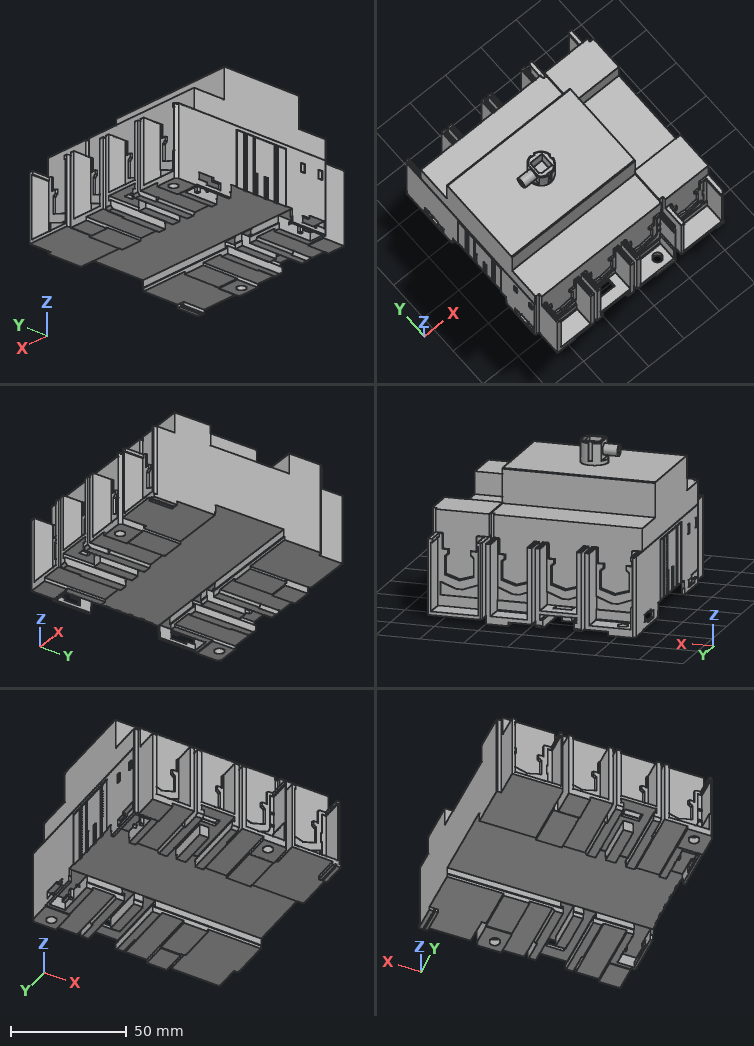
import cadquery as cq

depth_half = 50.0
body_half = 39.4
main_width = 70.0
pole_right = 96.5
pole_width = pole_right - main_width

wall_top = 36.2
shoulder_top = 46.5
main_top = 62.4
handle_top = 72.7
belly = 1.7
raised_belly = 6.6

main_block_half = 21.9
main_block_right = 69.7
main_block_bevel = 0.4
pole_valley_half = 20.6
corner_notch = 2.1
corner_notch_face = 37.7
seam_inset = 0.1

pole_pitch = 22.5
middle_pole = main_width / 2
main_poles = [middle_pole + i * pole_pitch for i in (-1, 0, 1)]
added_pole = main_width + pole_width / 2
bay_half = 20.9 / 2
cavity_half = 16.7 / 2
plate_thickness = 0.9
floor_outer = 3.7
floor_middle = 8.3
floor_added = 3.4
sill_top = 8.3
sill_thickness = 1.2
toe = 0.4
wall_groove = 0.7
wall_lip = 1.7
groove_depth = 0.5

pad_width = 12.2
belly_recess = 0.5
belly_recess_half = 38.0
rail_half = 17.8
rail_top = 6.9
foot_inner = 7.1
foot_wall = 8.3
foot_outer = 12.0
foot_bottom = 0.4
hook_top = 4.2


def block(x0, x1, y0, y1, z0, z1):
    return cq.Workplane("XY").box(x1 - x0, y1 - y0, z1 - z0, centered=False).translate((x0, y0, z0))


def half_turn(shape, center_x):
    """The same shape at the opposite end, turned about a vertical axis."""
    return shape.rotate((center_x, 0, 0), (center_x, 0, 1), 180)


def at_both_ends(shape, center_x):
    return shape.union(half_turn(shape, center_x))


def front_prism(points, y_front, length, taper=0):
    """Outline in X and Z, extruded from y_front toward the rear."""
    plane = cq.Workplane("XZ", origin=(0, y_front, 0))
    return plane.polyline(points).close().extrude(-length, taper=taper)


def housing(x0, x1, bottom, top):
    body = block(x0, x1, -body_half, body_half, bottom, top)
    bevel_x, bevel_y = 0.4, 0.8
    outline = [(x0, -body_half), (x0 + corner_notch, -body_half), (x0 + corner_notch, -corner_notch_face),
               (x0 + bevel_x, -corner_notch_face), (x0, -corner_notch_face + bevel_y)]
    notch = cq.Workplane("XY", origin=(0, 0, bottom)).polyline(outline).close().extrude(top - bottom)
    return body.cut(at_both_ends(notch, (x0 + x1) / 2))


def main_housing():
    body = housing(0, main_width, 0, shoulder_top)
    joint = block(main_block_right, main_width, -body_half, body_half, wall_top, shoulder_top)
    seam = block(0, seam_inset, -body_half, body_half, wall_top, shoulder_top)
    body = body.cut(joint).cut(seam)
    upper = block(seam_inset, main_block_right, -main_block_half, main_block_half, shoulder_top, main_top)
    upper = upper.faces(">Z").edges("|X").chamfer(main_block_bevel)
    return body.union(upper)


def pole_housing():
    body = housing(main_width, pole_right, belly, shoulder_top)
    valley = block(main_width, pole_right, -pole_valley_half, pole_valley_half, wall_top, shoulder_top)
    return body.cut(valley)


def keyhole(center):
    """Opening in the terminal plate: straight between the arms, flared toward the front below."""
    arm, neck, throat = 7.7, 4.9, 6.3
    shelf, neck_low, throat_top, throat_low, tip = 29.1, 27.1, 25.8, 17.9, 15.9
    flare, arm_round = 22, 0.8
    y_front = -body_half - plate_thickness
    arms = block(center - arm, center + arm, y_front, -body_half, shelf, wall_top)
    for side in (-1, 1):
        edge = center + side * arm
        outer = edge + side * arm_round
        corner = (cq.Workplane("XZ", origin=(0, y_front, 0)).moveTo(edge, wall_top)
                  .lineTo(edge, wall_top - arm_round)
                  .radiusArc((outer, wall_top), side * arm_round)
                  .close().extrude(-plate_thickness))
        arms = arms.union(corner)
    right = [(neck, shelf + 1), (neck, neck_low), (throat, throat_top), (throat, throat_low)]
    left = [(-x, z) for x, z in reversed(right)]
    points = [(center + x, z) for x, z in right + [(0, tip)] + left]
    below_shelf = block(center - arm, center + arm, y_front, -body_half, 0, shelf)
    lower = front_prism(points, -body_half, -plate_thickness, -flare).intersect(below_shelf)
    return arms.union(lower)


def wave_recess(center, half, floor):
    """Shallow recess with a dipped top edge below the keyhole."""
    recess_depth = 0.3
    shoulder, dip, dip_half = 14.2, 11.6, 1.5
    y_front = -body_half - plate_thickness
    points = [(center - half, floor), (center + half, floor), (center + half, shoulder),
              (center + dip_half, dip), (center - dip_half, dip), (center - half, shoulder)]
    return front_prism(points, y_front, recess_depth)


def bay(center, outer, inner, bottom, floor, wave_half, sill=False, grooved=True):
    """Open box with floor, two side walls and the terminal plate on its back wall."""
    shell = block(*outer, -depth_half, -body_half, bottom, wall_top)
    plate_front = -body_half - plate_thickness
    shell = shell.cut(block(*inner, -depth_half, plate_front, floor, wall_top))
    shell = shell.cut(keyhole(center))
    shell = shell.cut(wave_recess(center, wave_half, sill_top))
    if sill:
        shell = shell.union(block(*inner, -body_half - sill_thickness, -body_half, floor, sill_top))
        shell = shell.union(block(*inner, -body_half - sill_thickness - toe, -body_half, floor, floor + toe))
    if grooved:
        groove_end = 1.0
        for middle in ((outer[0] + inner[0]) / 2, (outer[1] + inner[1]) / 2):
            shell = shell.cut(block(middle - wall_groove / 2, middle + wall_groove / 2,
                                    -depth_half + groove_end, -body_half,
                                    wall_top - groove_depth, wall_top))
    return shell


def side_recess(x0, x1, z0, z1):
    """Shallow recess in the terminal plate beside a wall."""
    recess_depth = 0.3
    front = -body_half - plate_thickness
    return block(x0, x1, front, front + recess_depth, z0, z1)


def wall_end_bevel(x, bevel_x):
    """Material to remove from the outer corner at the end of a right-hand wall."""
    bevel_y = 1.5
    return (cq.Workplane("XY").moveTo(x - bevel_x, -depth_half).lineTo(x, -depth_half)
            .lineTo(x, -depth_half + bevel_y).close().extrude(wall_top))


def left_bay():
    center = main_poles[0]
    outer = (corner_notch, center + bay_half)
    inner = (center - cavity_half, center + cavity_half)
    return bay(center, outer, inner, 0, floor_outer, cavity_half, sill=True)


def middle_bay():
    center = main_poles[1]
    outer = (center - bay_half, center + bay_half)
    inner = (center - cavity_half, center + cavity_half)
    shell = bay(center, outer, inner, foot_bottom, floor_middle, cavity_half)
    window_half, window_length = 4.1, 4.2
    plate_front = -body_half - plate_thickness
    window = block(center - window_half, center + window_half,
                   plate_front - window_length, plate_front, 0, floor_middle)
    return shell.cut(window)


def right_bay():
    center = main_poles[2]
    outer = (center - bay_half, main_width)
    wall_inner = 68.0
    inner = (center - cavity_half, wall_inner)
    shell = bay(center, outer, inner, 0, floor_outer, cavity_half, sill=True)

    lip_low = wall_top - wall_lip
    wall_thin, ledge_low, ledge_high = 68.7, 13.3, 13.7
    relief = [(wall_inner, ledge_low), (wall_thin, ledge_high), (wall_thin, lip_low), (wall_inner, lip_low)]
    shell = shell.cut(front_prism(relief, -depth_half, depth_half - body_half - plate_thickness))
    recess_left = 66.7
    recess_heights = ((18.7, 24.6), (25.4, 34.5))
    for low, high in recess_heights:
        shell = shell.cut(side_recess(recess_left, wall_thin, low, high))

    start, rise = (65.4, 14.0), (66.4, 15.5)
    sweep_depth, sweep_top = 0.3, 17.9
    sweep = (cq.Workplane("XZ", origin=(0, -body_half - plate_thickness, 0))
             .moveTo(start[0], sill_top).lineTo(*start).threePointArc(rise, (recess_left, sweep_top))
             .lineTo(wall_thin, sweep_top).lineTo(wall_thin, sill_top).close().extrude(-sweep_depth))
    shell = shell.cut(sweep)
    bevel_x = 1.1
    shell = shell.cut(wall_end_bevel(main_width, bevel_x))

    hole_x, hole_y, hole_diameter = 62.9, -45.0, 4.6
    hole = cq.Workplane("XY").center(hole_x, hole_y).circle(hole_diameter / 2).extrude(floor_outer)
    return shell.cut(hole)


def added_bay():
    outer = (main_width + corner_notch, pole_right)
    inner = (73.5, 95.0)
    wave_half = 8.6
    shell = bay(added_pole, outer, inner, belly, floor_added, wave_half, grooved=False)
    lip = 0.5
    for x in (inner[0], inner[1] - lip):
        shell = shell.union(block(x, x + lip, -depth_half, -body_half, wall_top - wall_lip, wall_top))
    bevel_x = 0.6
    shell = shell.cut(wall_end_bevel(pole_right, bevel_x))
    slot_left, wide_left = 92.9, 92.4
    slot_top, wide_low, wide_high = 34.5, 19.2, 24.2
    shell = shell.cut(side_recess(slot_left, inner[1], sill_top, slot_top))
    return shell.cut(side_recess(wide_left, inner[1], wide_low, wide_high))


def underside_cut():
    """Raised belly, raised middle pole and the shallow recess between the front and rear pads."""
    cut = block(pad_width, main_width - pad_width, -depth_half, depth_half, 0, belly)
    cut = cut.union(block(middle_pole - foot_wall, middle_pole + foot_wall,
                          -depth_half, depth_half, 0, raised_belly))
    return cut.union(block(0, pole_right, -belly_recess_half, belly_recess_half, 0, belly_recess))


def rail_slot():
    step_z, lip = 3.3, 0.4
    slot = block(0, pole_right, -rail_half, rail_half, 0, rail_top)
    return slot.union(block(0, pole_right, -rail_half - lip, rail_half + lip, 0, step_z))


def gap_relief(side):
    """Step in the housing face at the bottom of the gap beside the middle bay."""
    setback = 1.0
    left, right = sorted((middle_pole + side * bay_half, middle_pole + side * foot_outer))
    return block(left, right, -body_half, -body_half + setback, 0, raised_belly)


def foot(side):
    """Hooked foot along one wall of the middle pole, with bevelled outer corner and ends."""
    bevel_x = 0.9
    bay_outline = [(foot_wall, raised_belly), (foot_wall, hook_top), (foot_inner, hook_top),
                   (foot_inner, foot_bottom), (bay_half, foot_bottom), (bay_half, raised_belly)]
    body_outline = bay_outline[:4] + [(foot_outer - bevel_x, foot_bottom), (foot_outer, belly),
                                      (foot_outer, raised_belly)]

    def placed(points):
        return [(middle_pole + side * x, z) for x, z in points]

    in_bays = front_prism(placed(bay_outline), -depth_half, 2 * depth_half)
    for end in ("<Y", ">Y"):
        in_bays = in_bays.faces(end).edges("<Z").chamfer(belly - foot_bottom)
    return in_bays.union(front_prism(placed(body_outline), -body_half, 2 * body_half))


def rail_tab():
    """Tab hanging below the middle pole."""
    tab_half, tab_bottom = 2.3, 0.9
    return block(middle_pole - tab_half, middle_pole + tab_half,
                 -belly_recess_half, -rail_half, tab_bottom, rail_top)


def pole_foot():
    """Foot under the right wall of the added pole, with a shallow notch."""
    left, notch_left, notch_right, notch_height = 92.4, 93.8, 94.4, 0.9
    pad = block(left, pole_right, -depth_half, -belly_recess_half, 0, belly)
    return pad.cut(block(notch_left, notch_right, -depth_half, -belly_recess_half, 0, notch_height))


def side_panel():
    """Shallow panel in the left side with vertical grooves cut deeper."""
    panel_half, panel_top, panel_depth = 14.4, 34.4, 0.4
    panel_groove, extra_depth, short_top = 0.6, 0.4, 17.3
    grooves = [(9.6, panel_top), (8.3, panel_top), (3.8, panel_top), (2.4, short_top),
               (-2.5, short_top), (-3.9, short_top), (-8.3, panel_top), (-9.6, panel_top)]
    panel = block(0, panel_depth, -panel_half, panel_half, rail_top, panel_top)
    for y, top in grooves:
        panel = panel.union(block(0, panel_depth + extra_depth,
                                  y - panel_groove / 2, y + panel_groove / 2, rail_top, top))
    return panel


def side_marks():
    """Two small rectangular recesses."""
    mark_depth, mark_low, mark_high = 0.4, 26.4, 30.6
    mark_width, mark_centers = 2.1, (-24.2, -34.4)
    marks = cq.Workplane("XY")
    for y in mark_centers:
        marks = marks.union(block(0, mark_depth, y - mark_width / 2, y + mark_width / 2, mark_low, mark_high))
    return marks


def latch_window():
    """Stepped window in the rear part of the left side, opening into a pocket from below."""
    outer, step, inner_top, inner = 36.5, 31.9, 28.0, 23.9
    top, inner_high, outer_low, low = 6.8, 5.5, 3.4, 2.2
    outline = [(outer, top), (inner_top, top), (inner_top, inner_high), (inner, inner_high),
               (inner, low), (step, low), (step, outer_low), (outer, outer_low)]
    skin, pocket_end = 1.2, 9.0
    window = cq.Workplane("YZ").polyline(outline).close().extrude(pocket_end)
    window = window.union(block(skin, pocket_end, rail_half, outer, 0, top))

    latch_front = 7.5
    upright_outer, upright_inner = 30.8, 29.2
    bar_low, bar_high = 4.5, 5.5
    web = 1.1
    window = window.cut(block(latch_front, pocket_end, upright_inner, upright_outer, low, top))
    window = window.cut(block(latch_front, pocket_end, step, outer, bar_low, bar_high))
    corner = (cq.Workplane("YZ", origin=(latch_front, 0, 0)).moveTo(inner, inner_high)
              .lineTo(inner + web, inner_high).lineTo(inner, inner_high - web)
              .close().extrude(pocket_end - latch_front))
    return window.cut(corner)


def handle():
    """Round shaft socket with a flat, three flutes, a square bore and a clamping screw."""
    radius, square, bore_depth, top_bevel = 6.1, 6.8, 8.0, 0.5
    flat_offset, flat_z = 4.5, 64.2
    flat_x = middle_pole - flat_offset
    socket = (cq.Workplane("XY", origin=(middle_pole, 0, main_top))
              .circle(radius).extrude(handle_top - main_top).faces(">Z").chamfer(top_bevel))
    socket = socket.cut(block(middle_pole - radius, flat_x, -radius, radius, flat_z, handle_top))

    bore = block(-square / 2, square / 2, -square / 2, square / 2, handle_top - bore_depth, handle_top)
    bore_bevel = 1.0
    bore = bore.edges("|Z").edges("<X").edges("<Y").chamfer(bore_bevel)
    socket = socket.cut(bore.translate((middle_pole, 0, 0)))

    flute_width, flute_depth = 1.8, 0.9
    flute = block(radius - flute_depth, radius, -flute_width / 2, flute_width / 2, flat_z, handle_top)
    for angle in (-90, 0, 90):
        turned = flute.rotate((0, 0, 0), (0, 0, 1), angle)
        socket = socket.cut(turned.translate((middle_pole, 0, 0)))

    screw_z, screw_radius, screw_end = 68.5, 2.6, 23.8
    hex_across, hex_depth = 3.2, 2.0
    head = cq.Workplane("YZ", origin=(screw_end, 0, screw_z))
    screw = head.circle(screw_radius).extrude(flat_x - screw_end)
    screw = screw.cut(head.polygon(6, hex_across).extrude(hex_depth))
    return socket.union(screw)


front_bays = left_bay().union(middle_bay()).union(right_bay())
main_module = main_housing().union(at_both_ends(front_bays, middle_pole))
pole_module = pole_housing().union(at_both_ends(added_bay(), added_pole)).union(pole_foot())

result = main_module.union(pole_module)
result = result.cut(underside_cut())
result = result.cut(gap_relief(1)).cut(gap_relief(-1))
result = result.union(foot(1)).union(foot(-1)).union(at_both_ends(rail_tab(), middle_pole))
result = result.cut(rail_slot())
result = result.cut(side_panel()).cut(side_marks())
result = result.cut(latch_window()).cut(latch_window().mirror("XZ"))
result = result.union(handle())